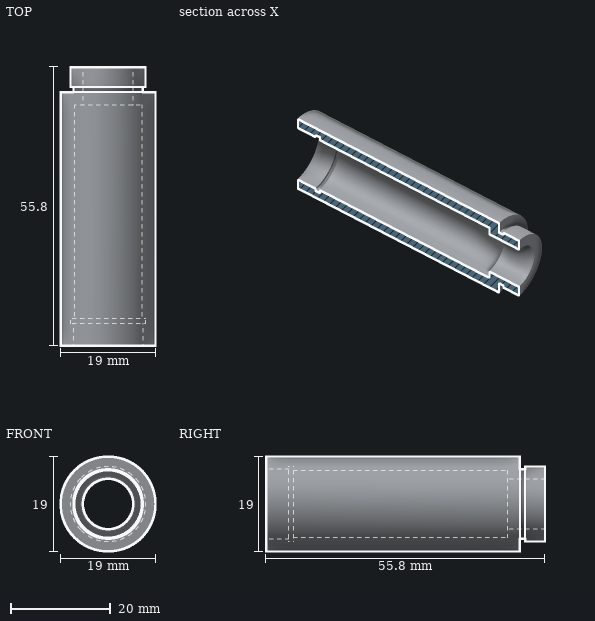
import cadquery as cq

total_length = 55.8
body_diameter = 19.0
body_radius = body_diameter / 2
head_radius = 7.55
head_length = 4.0
neck_radius = 7.0
neck_length = 1.0

socket_radius = neck_radius
socket_depth = 4.5
groove_radius = head_radius
groove_width = neck_length
chamber_radius = 6.75
outlet_radius = 5.0

front_y = -total_length / 2
back_y = total_length / 2
head_start = back_y - head_length
body_end = head_start - neck_length
groove_start = front_y + socket_depth
groove_end = groove_start + groove_width
end_wall = body_radius - socket_radius
chamber_end = body_end - end_wall


def cylinder(radius, start_y, end_y):
    """Solid cylinder on the Y axis between two positions."""
    base = cq.Workplane("XZ", origin=(0, start_y, 0))
    return base.circle(radius).extrude(start_y - end_y)


tube = cylinder(body_radius, front_y, body_end)
tube = tube.union(cylinder(neck_radius, body_end, head_start))
tube = tube.union(cylinder(head_radius, head_start, back_y))

bore_steps = [
    (socket_radius, front_y, groove_start),
    (groove_radius, groove_start, groove_end),
    (chamber_radius, groove_end, chamber_end),
    (outlet_radius, chamber_end, back_y),
]
for radius, start_y, end_y in bore_steps:
    tube = tube.cut(cylinder(radius, start_y, end_y))

result = tube